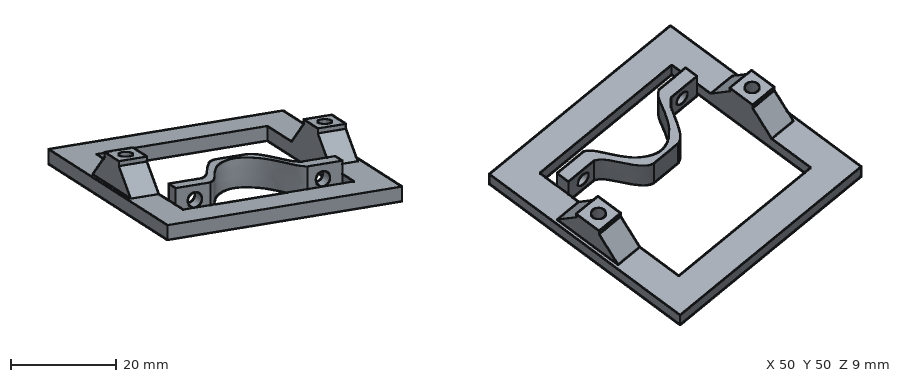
import cadquery as cq

frame_side = 50.0
window_side = 36.4
frame_height = 3.0

post_depth = 6.0
post_top_width = 6.0
post_lip_height = 1.0
post_slope = 5.0
post_hole_diameter = 2.8
post_centre_y = window_side / 2 + post_depth / 2

strap_height = 6.0
strap_half_length = 17.75
tab_near_x = 11.15
tab_thickness = 3.0
tab_far_x = tab_near_x + tab_thickness
tab_hole_diameter = 3.0
tab_hole_y = 13.65
tab_hole_z = strap_height / 2
near_bend_y = 10.65
far_bend_y = 10.35
nose_x = 2.45
nose_half_width = 3.35
bow_inner_x = 3.65

near_flank = [(10.25, 9.45), (8.0, 8.0), (4.55, 5.95), (2.95, 4.5)]
far_flank = [(13.5, 9.5), (10.8, 7.8), (8.0, 6.2), (6.35, 5.0), (5.1, 3.65), (4.1, 2.0)]


def mirrored(points):
    """Reflect points across the X axis, keeping their order."""
    return [(x, -y) for x, y in points]


def make_post(centre_y):
    """Trapezoidal post with a short upright lip at its top."""
    half_top = post_top_width / 2
    half_base = half_top + post_slope
    shoulder_z = frame_height + post_slope
    top_z = shoulder_z + post_lip_height
    return (
        cq.Workplane("XZ", origin=(0, centre_y + post_depth / 2, 0))
        .moveTo(-half_base, frame_height)
        .lineTo(-half_top, shoulder_z)
        .lineTo(-half_top, top_z)
        .lineTo(half_top, top_z)
        .lineTo(half_top, shoulder_z)
        .lineTo(half_base, frame_height)
        .close()
        .extrude(post_depth)
    )


def make_frame():
    """Frame with two posts, each drilled right through the rail."""
    body = (
        cq.Workplane("XY")
        .rect(frame_side, frame_side)
        .rect(window_side, window_side)
        .extrude(frame_height)
    )
    hole_depth = frame_height + post_slope + post_lip_height
    for centre_y in (-post_centre_y, post_centre_y):
        body = body.union(make_post(centre_y))
        hole = (
            cq.Workplane("XY", origin=(0, centre_y, 0))
            .circle(post_hole_diameter / 2)
            .extrude(hole_depth)
        )
        body = body.cut(hole)
    return body


def make_strap():
    """Bowed strap with a flat nose and a drilled tab at each end."""
    near_curve = near_flank + [(nose_x, nose_half_width)]
    far_curve = mirrored(far_flank) + [(bow_inner_x, 0)] + far_flank[::-1]
    body = (
        cq.Workplane("XY")
        .moveTo(tab_far_x, strap_half_length)
        .lineTo(tab_near_x, strap_half_length)
        .lineTo(tab_near_x, near_bend_y)
        .spline(near_curve, includeCurrent=True)
        .lineTo(nose_x, -nose_half_width)
        .spline(mirrored(near_flank[::-1]) + [(tab_near_x, -near_bend_y)], includeCurrent=True)
        .lineTo(tab_near_x, -strap_half_length)
        .lineTo(tab_far_x, -strap_half_length)
        .lineTo(tab_far_x, -far_bend_y)
        .spline(far_curve + [(tab_far_x, far_bend_y)], includeCurrent=True)
        .close()
        .extrude(strap_height)
    )
    for hole_y in (-tab_hole_y, tab_hole_y):
        hole = (
            cq.Workplane("YZ", origin=(tab_near_x, hole_y, tab_hole_z))
            .circle(tab_hole_diameter / 2)
            .extrude(tab_thickness)
        )
        body = body.cut(hole)
    return body


frame = make_frame()
strap = make_strap()

result = cq.Compound.makeCompound([frame.val(), strap.val()])